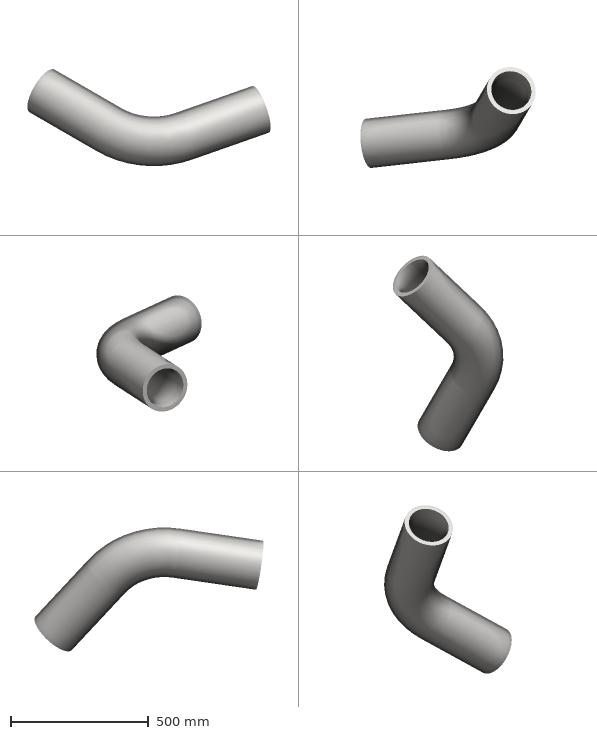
import cadquery as cq
import math

overall_length = 768.0
outer_diameter = 180.0
inner_diameter = 147.5
bend_angle = 60.0
bend_radius = 1.5 * outer_diameter

cos_bend = math.cos(math.radians(bend_angle))
sin_bend = math.sin(math.radians(bend_angle))
bend_span = bend_radius * sin_bend
end_rim_span = outer_diameter / 2 * sin_bend
leg_length = (overall_length - bend_span - end_rim_span) / (1 + cos_bend)

half_angle = math.radians(bend_angle / 2)
bend_start = (leg_length, 0)
bend_middle = (
    leg_length + bend_radius * math.sin(half_angle),
    bend_radius * (1 - math.cos(half_angle)),
)
bend_end = (leg_length + bend_span, bend_radius * (1 - cos_bend))
path_end = (
    bend_end[0] + leg_length * cos_bend,
    bend_end[1] + leg_length * sin_bend,
)
centreline = (
    cq.Workplane("XY")
    .lineTo(*bend_start)
    .threePointArc(bend_middle, bend_end)
    .lineTo(*path_end)
)

result = (
    cq.Workplane("YZ")
    .circle(outer_diameter / 2)
    .circle(inner_diameter / 2)
    .sweep(centreline)
)